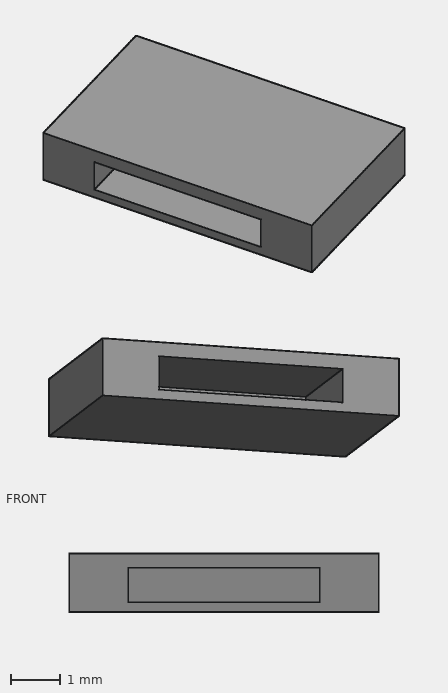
import cadquery as cq

length = 6.3
width = 3.8
height = 1.2

pocket_length = 3.9
pocket_height = 0.7
pocket_floor = 0.2
side_wall = (length - pocket_length) / 2
pocket_depth = width - side_wall

block = cq.Workplane("XY").box(length, width, height, centered=(True, True, False))

pocket = (
    cq.Workplane("XY")
    .box(pocket_length, pocket_depth, pocket_height, centered=(True, False, False))
    .translate((0, -width / 2, pocket_floor))
)

result = block.cut(pocket)